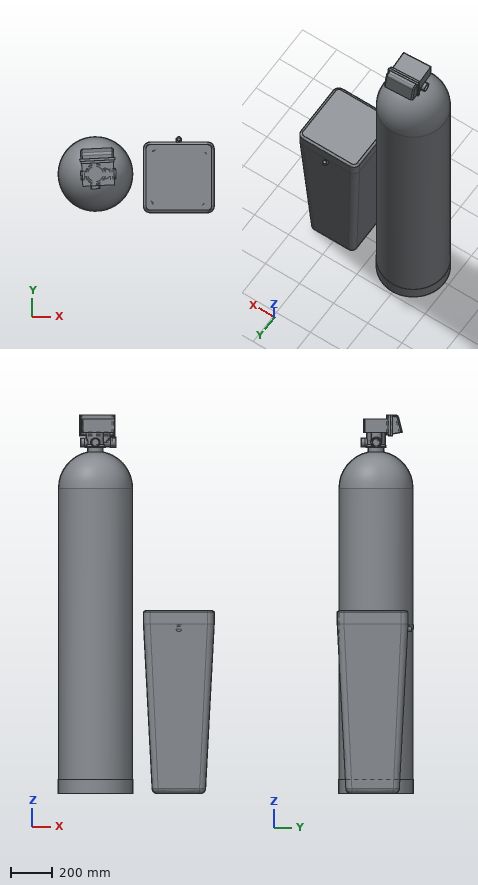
import cadquery as cq
import math

TOTAL_HEIGHT = 1837.0
TOTAL_WIDTH = 757.0
TOTAL_DEPTH = 370.0

TANK_DIA = 360.0
BASE_DIA = 362.0
BASE_HEIGHT = 70.0
DOME_START_Z = 1480.0
NECK_DIA = 75.0

FLANGE_DIA = 100.0
FLANGE_Z = 1677.0
FLANGE_THICKNESS = 5.0
CONE_HEIGHT = 11.0
VALVE_DIA = 92.0
BYPASS_DIA = 51.0
BYPASS_OFFSET = 46.0

PORT_Z = 1703.0
PORT_DIA = 45.0
PORT_BORE = 37.0
PORT_BORE_DEPTH = 18.0
PORT_REACH = 72.0
PORT_SHIFT = -4.0
COLLAR_DIA = 51.0
COLLAR_START = 72.0
COLLAR_END = 100.0

VALVE_TURN = 3.0
HEAD_CENTER_X = 13.0
BOX_WIDTH = 155.0
BOX_BACK_Y = -57.0
BOX_FRONT_Y = 53.0
BOX_BOTTOM_Z = 1750.0
BOX_TOP_Z = 1817.0
PLATE_WIDTH = 160.0
PLATE_BOTTOM_Z = 1740.0
BEZEL_WIDTH = 170.0
BEZEL_BOTTOM_Z = 1735.0
LAYER_THICKNESS = 11.0
COVER_WIDTH = 160.0
COVER_BOTTOM_Z = 1744.0
COVER_TOP_Z = 1835.0
COVER_FRONT_BOTTOM_Y = 123.0
COVER_FRONT_BOTTOM_Z = 1753.0
COVER_FRONT_TOP_Y = 103.0
COVER_TOP_FILLET = 15.0
COVER_SIDE_CHAMFER = 7.0

CABINET_WIDTH = 344.0
CABINET_HEIGHT = 890.0
LID_HEIGHT = 66.0
LID_CORNER_RADIUS = 33.0
LID_EDGE_INSET = 13.0
LID_EDGE_DROP = 7.0
WALL_DRAFT = 3.0
FOOT_CORNER_RADIUS = 30.0
FOOT_FILLET = 28.0

ELBOW_DIA = 25.0
ELBOW_SPOUT_DIA = 20.0
ELBOW_Z = 800.0
ELBOW_RISE = 18.0
ELBOW_ROOT = 10.0

CABINET_X = TOTAL_WIDTH - BASE_DIA / 2 - CABINET_WIDTH / 2
CABINET_Y = BASE_DIA / 2 - TOTAL_DEPTH + CABINET_WIDTH / 2
CABINET_BACK_Y = CABINET_Y + CABINET_WIDTH / 2
ELBOW_SPOUT_Y = (BASE_DIA - ELBOW_SPOUT_DIA) / 2


def cylinder(dia, start, length, direction):
    """Cylinder of the given length that runs from the point `start` along `direction`."""
    return cq.Workplane(cq.Solid.makeCylinder(dia / 2, length, cq.Vector(*start), cq.Vector(*direction)))


def slab(width, y_start, y_end, z_bottom, z_top):
    """Upright block of the control head, centred on the middle of the head."""
    block = cq.Workplane().box(width, y_end - y_start, z_top - z_bottom, centered=(True, False, False))
    return block.translate((HEAD_CENTER_X, y_start, z_bottom))


def make_tank_shell():
    """Cylinder with a hemispherical dome, a slightly wider base and a neck."""
    radius = TANK_DIA / 2
    half_outline = (
        cq.Workplane("XZ")
        .lineTo(BASE_DIA / 2, 0)
        .lineTo(BASE_DIA / 2, BASE_HEIGHT)
        .lineTo(radius, BASE_HEIGHT)
        .lineTo(radius, DOME_START_Z)
        .radiusArc((0, DOME_START_Z + radius), -radius)
        .close()
    )
    neck = cylinder(NECK_DIA, (0, 0, DOME_START_Z), FLANGE_Z - DOME_START_Z, (0, 0, 1))
    return half_outline.revolve(360, (0, 0, 0), (0, 1, 0)).union(neck)


def make_valve_body():
    """Flange, cone and round body, with the smaller bypass chamber at its +X side."""
    cone_z = FLANGE_Z + FLANGE_THICKNESS
    body_z = cone_z + CONE_HEIGHT
    body = (
        cq.Workplane("XZ")
        .moveTo(0, FLANGE_Z)
        .lineTo(FLANGE_DIA / 2, FLANGE_Z)
        .lineTo(FLANGE_DIA / 2, cone_z)
        .lineTo(VALVE_DIA / 2, body_z)
        .lineTo(VALVE_DIA / 2, BOX_BOTTOM_Z)
        .lineTo(0, BOX_BOTTOM_Z)
        .close()
        .revolve(360, (0, 0, 0), (0, 1, 0))
    )
    bypass = cylinder(BYPASS_DIA, (BYPASS_OFFSET, 0, PORT_Z), BOX_BOTTOM_Z - PORT_Z, (0, 0, 1))
    return body.union(bypass)


def add_ports(valve):
    """Three horizontal ports: -X, -Y, and +X with a wider collar, each with a blind bore."""
    side_start = (0, PORT_SHIFT, PORT_Z)
    front_start = (PORT_SHIFT, 0, PORT_Z)
    ports = [
        (side_start, (-1, 0, 0), PORT_REACH),
        (front_start, (0, -1, 0), PORT_REACH),
        (side_start, (1, 0, 0), COLLAR_END),
    ]
    for start, direction, reach in ports:
        valve = valve.union(cylinder(PORT_DIA, start, reach, direction))
    collar_start = (COLLAR_START, PORT_SHIFT, PORT_Z)
    valve = valve.union(cylinder(COLLAR_DIA, collar_start, COLLAR_END - COLLAR_START, (1, 0, 0)))
    for start, direction, reach in ports:
        bore_start = cq.Vector(*start) + cq.Vector(*direction) * (reach - PORT_BORE_DEPTH)
        valve = valve.cut(cylinder(PORT_BORE, bore_start.toTuple(), PORT_BORE_DEPTH, direction))
    return valve


def make_cover(back_y):
    """Display cover with a leaning face, a rounded top edge and chamfered sides."""
    cover = (
        cq.Workplane("YZ")
        .polyline(
            [
                (back_y, COVER_BOTTOM_Z),
                (COVER_FRONT_BOTTOM_Y, COVER_FRONT_BOTTOM_Z),
                (COVER_FRONT_TOP_Y, COVER_TOP_Z),
                (back_y, COVER_TOP_Z),
            ]
        )
        .close()
        .extrude(COVER_WIDTH / 2, both=True)
        .translate((HEAD_CENTER_X, 0, 0))
    )
    cover = cover.edges("|X").edges(">Z").edges(">Y").fillet(COVER_TOP_FILLET)
    leaning_edges = cover.faces(">Y").edges("not |X")
    return leaning_edges.chamfer(COVER_SIDE_CHAMFER)


def make_control_head():
    """Rear box, mounting plate, bezel and display cover, stacked towards +Y."""
    bezel_y = BOX_FRONT_Y + LAYER_THICKNESS
    cover_y = bezel_y + LAYER_THICKNESS
    box = slab(BOX_WIDTH, BOX_BACK_Y, BOX_FRONT_Y, BOX_BOTTOM_Z, BOX_TOP_Z)
    plate = slab(PLATE_WIDTH, BOX_FRONT_Y, bezel_y, PLATE_BOTTOM_Z, COVER_TOP_Z)
    bezel = slab(BEZEL_WIDTH, bezel_y, cover_y, BEZEL_BOTTOM_Z, TOTAL_HEIGHT)
    return box.union(plate).union(bezel).union(make_cover(cover_y))


def make_tank():
    """Tank and control valve in one piece; the valve is turned slightly about the tank axis."""
    valve = add_ports(make_valve_body()).union(make_control_head())
    valve = valve.rotate((0, 0, 0), (0, 0, 1), VALVE_TURN)
    return make_tank_shell().union(valve)


def rounded_square(width, radius, z):
    """Square outline with round corners at the height z, centred on the Z axis."""
    return cq.Sketch().rect(width, width).vertices().fillet(radius).moved(cq.Location(cq.Vector(0, 0, z)))


def make_cabinet_bin():
    """Bin that narrows towards a rounded foot."""
    bin_height = CABINET_HEIGHT - LID_HEIGHT
    foot_width = CABINET_WIDTH - 2 * bin_height * math.tan(math.radians(WALL_DRAFT))
    foot = rounded_square(foot_width, FOOT_CORNER_RADIUS, 0)
    rim = rounded_square(CABINET_WIDTH, LID_CORNER_RADIUS, bin_height)
    return cq.Workplane().placeSketch(foot, rim).loft(ruled=True).faces("<Z").edges().fillet(FOOT_FILLET)


def make_lid():
    """Straight lid band with a shallow bevel around its top."""
    outline = rounded_square(CABINET_WIDTH, LID_CORNER_RADIUS, CABINET_HEIGHT - LID_HEIGHT)
    band = cq.Workplane().placeSketch(outline).extrude(LID_HEIGHT)
    return band.faces(">Z").chamfer(LID_EDGE_DROP, LID_EDGE_INSET)


def make_elbow():
    """Overflow elbow: a stub out of the back wall with a spout that points up."""
    stub_y = CABINET_BACK_Y - ELBOW_ROOT
    stub = cylinder(ELBOW_DIA, (CABINET_X, stub_y, ELBOW_Z), ELBOW_SPOUT_Y - stub_y, (0, 1, 0))
    spout = cylinder(ELBOW_SPOUT_DIA, (CABINET_X, ELBOW_SPOUT_Y, ELBOW_Z), ELBOW_RISE, (0, 0, 1))
    return stub.union(spout)


def make_cabinet():
    """Brine cabinet: bin, lid and overflow elbow in one piece."""
    cabinet = make_cabinet_bin().union(make_lid())
    return cabinet.translate((CABINET_X, CABINET_Y, 0)).union(make_elbow())


tank = make_tank()
cabinet = make_cabinet()
result = cq.Compound.makeCompound([tank.val(), cabinet.val()])